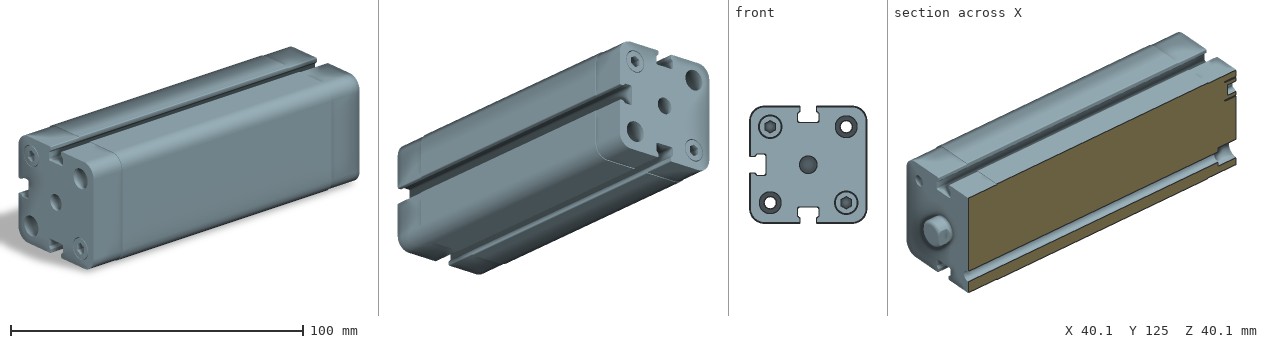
import cadquery as cq
import math


total_length = 125.0
rod_projection = 5.5
cap_length = 12.8
housing_length = total_length - rod_projection
barrel_length = housing_length - 2 * cap_length

barrel_width = 40.1
cap_width = 39.6
barrel_corner_radius = 5.1
cap_corner_radius = barrel_corner_radius - (barrel_width - cap_width) / 2

slot_mouth_width = 5.5
slot_inner_width = 7.2
slot_floor_distance = 14.5
slot_lip_distance = 18.4
slot_floor_radius = 0.6
slot_mouth_radius = 0.4

hole_offset = 13.0
mounting_hole_diameter = 4.1
mounting_counterbore_diameter = 7.5
mounting_counterbore_depth = 8.0
screw_recess_diameter = 8.0
screw_head_diameter = 7.5
screw_head_height = 5.0
hex_across_flats = 3.6
hex_depth = 3.8

center_hole_diameter = 6.0
center_hole_depth = 6.0

rod_diameter = 10.0
rod_across_flats = 8.0
rod_tip_radius = 1.2
flat_length = 3.5


def section_plane(y):
    """Sketch plane at the given Y: local x is +X, local y is +Z, extrusion goes toward +Y."""
    return cq.Workplane(cq.Plane(origin=(0, y, 0), xDir=(1, 0, 0), normal=(0, -1, 0)))


def round_bar(y, length, diameter, x=0, z=0):
    return section_plane(y).center(x, z).circle(diameter / 2).extrude(-length)


def slot_cutter(y, length, top):
    """Upward-opening slot whose mouth edges are rounded where it meets the top surface."""
    mouth = slot_mouth_width / 2
    inner = slot_inner_width / 2
    flare = mouth + slot_mouth_radius
    flare_start = top - slot_mouth_radius
    undercut_start = slot_lip_distance - (inner - mouth)
    arc_offset = slot_mouth_radius * (1 - math.sqrt(0.5))
    profile = (
        section_plane(y)
        .moveTo(-flare, top)
        .threePointArc((-mouth - arc_offset, top - arc_offset), (-mouth, flare_start))
        .lineTo(-mouth, slot_lip_distance)
        .lineTo(-inner, undercut_start)
        .lineTo(-inner, slot_floor_distance)
        .lineTo(inner, slot_floor_distance)
        .lineTo(inner, undercut_start)
        .lineTo(mouth, slot_lip_distance)
        .lineTo(mouth, flare_start)
        .threePointArc((mouth + arc_offset, top - arc_offset), (flare, top))
        .close()
    )
    cutter = profile.extrude(-length)
    return cutter.faces("<Z").edges("|Y").fillet(slot_floor_radius)


def slotted_block(y, length, width, corner_radius):
    """Square block with rounded corners and slots on its left, top and bottom sides."""
    block = section_plane(y).rect(width, width).extrude(-length)
    block = block.edges("|Y").fillet(corner_radius)
    slot = slot_cutter(y, length, width / 2)
    for angle in (-90, 0, 180):
        block = block.cut(slot.rotate((0, 0, 0), (0, 1, 0), angle))
    return block


def mounting_hole(x, z):
    """Through hole, counterbored from the closed end face."""
    bore = round_bar(0, housing_length, mounting_hole_diameter, x, z)
    counterbore = round_bar(0, mounting_counterbore_depth, mounting_counterbore_diameter, x, z)
    return bore.union(counterbore)


def screw_clearance(x, z):
    """Ring gap around a flush socket screw head, together with its hexagon socket."""
    recess = round_bar(0, screw_head_height, screw_recess_diameter, x, z)
    head = round_bar(0, screw_head_height, screw_head_diameter, x, z)
    hexagon = section_plane(0).center(x, z)
    socket = hexagon.polygon(6, hex_across_flats, circumscribed=True).extrude(-hex_depth)
    return recess.cut(head).union(socket)


def piston_rod():
    """Round rod with a rounded tip and two flats that run out at 45 degrees."""
    rod = round_bar(housing_length, rod_projection, rod_diameter)
    rod = rod.faces(">Y").edges().fillet(rod_tip_radius)
    flat = rod_across_flats / 2
    runout = rod_diameter / 2
    flat_start = total_length - flat_length
    for side in (-1, 1):
        outline = [
            (side * flat, total_length),
            (side * flat, flat_start),
            (side * runout, flat_start - (runout - flat)),
            (side * runout, total_length),
        ]
        rod = rod.cut(cq.Workplane("XY").polyline(outline).close().extrude(runout, both=True))
    return rod


cap = slotted_block(0, cap_length, cap_width, cap_corner_radius)
barrel = slotted_block(cap_length, barrel_length, barrel_width, barrel_corner_radius)
rod_end_cap = slotted_block(cap_length + barrel_length, cap_length, cap_width, cap_corner_radius)
body = cap.union(barrel).union(rod_end_cap)

for side in (-1, 1):
    x = side * hole_offset
    body = body.cut(mounting_hole(x, x))
    body = body.cut(screw_clearance(x, -x))

body = body.cut(round_bar(0, center_hole_depth, center_hole_diameter))

result = body.union(piston_rod())